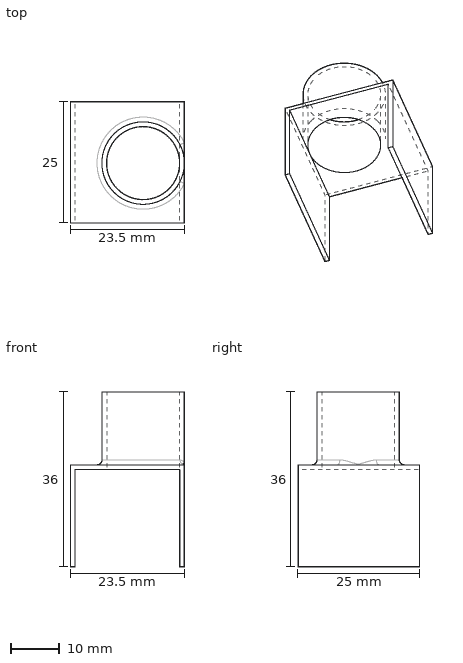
import cadquery as cq

channel_width = 23.5
channel_length = 25.0
channel_height = 21.03
wall = 1.0

tube_outer_diameter = 17.0
tube_bore_diameter = 15.0
tube_height = 15.0
side_clearance = 0.01
tube_x = channel_width / 2 - tube_outer_diameter / 2 - side_clearance
tube_y = -0.15
foot_fillet = 1.0


def make_channel():
    """U-shaped channel resting on Z = 0 with its web on top."""
    outer = cq.Workplane("XY").box(
        channel_width, channel_length, channel_height, centered=(True, True, False)
    )
    inner = cq.Workplane("XY").box(
        channel_width - 2 * wall, channel_length, channel_height - wall, centered=(True, True, False)
    )
    return outer.cut(inner)


def make_tube_cylinder(diameter, bottom):
    """Solid cylinder on the tube axis, from the given height up to the tube rim."""
    return (
        cq.Workplane("XY", origin=(tube_x, tube_y, bottom))
        .circle(diameter / 2)
        .extrude(channel_height + tube_height - bottom)
    )


def fillet_tube_foot(body):
    """Round the inside corner where the tube meets the channel top."""
    foot_point = (tube_x, tube_y, channel_height)
    return body.edges("%CIRCLE").edges(cq.selectors.NearestToPointSelector(foot_point)).fillet(foot_fillet)


web_bottom = channel_height - wall
web_middle = channel_height - wall / 2

blank = make_channel().union(make_tube_cylinder(tube_outer_diameter, web_middle))
bore = make_tube_cylinder(tube_bore_diameter, web_bottom)
result = fillet_tube_foot(blank).cut(bore)